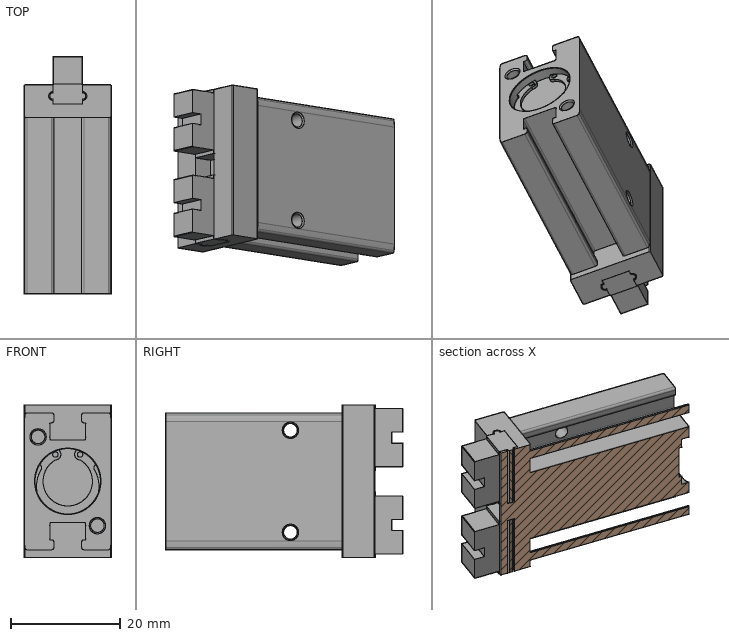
import cadquery as cq
import math


total_length = 43.5
width = 16.0
head_height = 28.0
body_height = 25.1
body_length = 32.3
head_front = 38.35

head_edge_chamfer = 0.2

corner_inset = 0.52
corner_height = 0.45
side_curve_inset = 0.15
side_curve_height = 1.17
corner_middle_inset = 0.25
corner_middle_drop = 0.15
side_curve_middle_inset = 0.05

slot_mouth_width = 5.1
slot_width = 6.52
slot_depth = 5.0
lip_thickness = 1.83
lip_round = 0.45
slot_floor_round = 0.25

hole_diameter = 2.5
hole_rim_diameter = 3.0
hole_chamfer = (hole_rim_diameter - hole_diameter) / 2
side_hole_y = 22.9
side_hole_z = 9.35
rear_hole_x = 5.45
rear_hole_z = 8.15
rear_hole_depth = 6.0

bore_diameter = 12.0
bore_radius = bore_diameter / 2
bore_rim_chamfer = 0.1
ring_face_depth = 1.5
ring_thickness = 0.52
bore_depth = ring_face_depth + ring_thickness
ring_inner_diameter = 9.05
lug_x = 2.25
lug_z = 4.9
lug_diameter = 2.0
lug_hole_diameter = 1.0
relief_lower_z = -2.18
relief_middle = (5.59, 0.35)
relief_shoulder = (4.95, 2.0)
relief_end = (4.8, 2.5)
relief_upper_z = 3.05

jaw_width = 5.4
jaw_inner_z = 2.0
jaw_length = head_height / 2 - jaw_inner_z
guide_depth = 3.55
jaw_base_rise = 0.15
jaw_base_chamfer = 0.1
finger_inset = 0.65
finger_tip_chamfer = 0.1
notch_size = 2.0
guide_axis_depth = 2.1
groove_diameter = 1.6
rib_diameter = 1.17


def box(x_range, y_range, z_range):
    """Block between the given limits."""
    corner = (x_range[0], y_range[0], z_range[0])
    length = x_range[1] - x_range[0]
    depth = y_range[1] - y_range[0]
    height = z_range[1] - z_range[0]
    return cq.Workplane("XY").box(length, depth, height, centered=False).translate(corner)


def cylinder(diameter, start, direction, length):
    """Round bar from a start point along a direction."""
    solid = cq.Solid.makeCylinder(diameter / 2, length, cq.Vector(*start), cq.Vector(*direction))
    return cq.Workplane(solid)


def countersink(diameter, chamfer, start, direction):
    """Cone that widens the mouth of a round hole by the chamfer."""
    cone = cq.Solid.makeCone(
        diameter / 2 + chamfer, diameter / 2, chamfer, cq.Vector(*start), cq.Vector(*direction)
    )
    return cq.Workplane(cone)


def with_x_mirror(shape):
    """Shape joined to its mirror image across X = 0."""
    return shape.union(shape.mirror("YZ"))


def make_body_block():
    """Body with its rounded long edges, mirrored from one quarter of the section."""
    side = width / 2
    top = body_height / 2
    curve_top = top - corner_height
    curve_bottom = curve_top - side_curve_height
    curve_middle = (side - side_curve_middle_inset, curve_top - side_curve_height / 2)
    corner_middle = (side - corner_middle_inset, top - corner_middle_drop)
    quarter = (
        cq.Workplane("XZ")
        .lineTo(side, 0)
        .lineTo(side, curve_bottom)
        .threePointArc(curve_middle, (side - side_curve_inset, curve_top))
        .threePointArc(corner_middle, (side - corner_inset, top))
        .lineTo(0, top)
        .close()
        .extrude(-body_length)
    )
    half = with_x_mirror(quarter)
    return half.union(half.mirror("XY")).clean()


def make_head():
    """Rectangular head with chamfered edges along Z."""
    z_range = (-head_height / 2, head_height / 2)
    head = box((-width / 2, width / 2), (body_length, head_front), z_range)
    return head.edges("|Z").chamfer(head_edge_chamfer)


def make_t_slot():
    """Cutter for the upper T-slot: a wide channel under a rounded mouth."""
    top = body_height / 2
    lip_bottom = top - lip_thickness
    y_range = (0, body_length)
    channel = box((-slot_width / 2, slot_width / 2), y_range, (top - slot_depth, lip_bottom))
    channel = channel.faces("<Z").edges("|Y").fillet(slot_floor_round)
    mouth_half = slot_mouth_width / 2
    mouth_edge = mouth_half + lip_round
    slot = channel.union(box((-mouth_edge, mouth_edge), y_range, (lip_bottom, top)))
    lip_x = slot_width / 2 + lip_round
    lip = box((mouth_half, lip_x), y_range, (lip_bottom, top))
    lip = lip.faces("<X").edges("|Y").fillet(lip_round)
    return slot.cut(with_x_mirror(lip))


def make_side_hole(z):
    """Cutter for a hole through the full width, countersunk on both sides."""
    hole = cylinder(hole_diameter, (-width / 2, side_hole_y, z), (1, 0, 0), width)
    rim = countersink(hole_diameter, hole_chamfer, (-width / 2, side_hole_y, z), (1, 0, 0))
    return hole.union(with_x_mirror(rim))


def make_rear_hole(x, z):
    """Cutter for a blind, countersunk hole in the rear face."""
    hole = cylinder(hole_diameter, (x, 0, z), (0, 1, 0), rear_hole_depth)
    return hole.union(countersink(hole_diameter, hole_chamfer, (x, 0, z), (0, 1, 0)))


def make_bore():
    """Cutter for the rear bore with its small rim chamfer."""
    bore = cylinder(bore_diameter, (0, 0, 0), (0, 1, 0), bore_depth)
    return bore.union(countersink(bore_diameter, bore_rim_chamfer, (0, 0, 0), (0, 1, 0)))


def make_ring():
    """Retaining-ring shape on the bore floor: open at the top, with two lugs and two side reliefs."""
    start = (0, ring_face_depth, 0)
    disc = cylinder(bore_diameter, start, (0, 1, 0), ring_thickness)
    opening = (
        cq.Workplane("XZ", origin=start)
        .polyline([(0, 0), (-2 * lug_x, 2 * lug_z), (2 * lug_x, 2 * lug_z)])
        .close()
        .extrude(-ring_thickness)
    )
    ring = disc.cut(cylinder(ring_inner_diameter, start, (0, 1, 0), ring_thickness)).cut(opening)

    lug_start = (lug_x, ring_face_depth, lug_z)
    lug_angle = math.degrees(math.atan2(lug_x, lug_z))
    lug_stem = box(
        (-lug_diameter / 2, lug_diameter / 2),
        (ring_face_depth, bore_depth),
        (math.hypot(lug_x, lug_z), bore_diameter),
    ).rotate((0, 0, 0), (0, 1, 0), lug_angle)
    lug = cylinder(lug_diameter, lug_start, (0, 1, 0), ring_thickness).union(lug_stem)
    ring = ring.union(with_x_mirror(lug.intersect(disc)))

    lower_x = math.sqrt(bore_radius**2 - relief_lower_z**2)
    upper_x = math.sqrt(bore_radius**2 - relief_upper_z**2)
    relief = (
        cq.Workplane("XZ", origin=start)
        .moveTo(lower_x, relief_lower_z)
        .threePointArc(relief_middle, relief_shoulder)
        .threePointArc(relief_end, (upper_x, relief_upper_z))
        .threePointArc((bore_radius, 0), (lower_x, relief_lower_z))
        .close()
        .extrude(-ring_thickness)
    )
    lug_hole = cylinder(lug_hole_diameter, lug_start, (0, 1, 0), ring_thickness)
    return ring.cut(with_x_mirror(relief)).cut(with_x_mirror(lug_hole))


def make_side_beads(diameter):
    """Two round bars as long as the upper jaw, centred on the side faces of its guide."""
    start = (jaw_width / 2, head_front - guide_axis_depth, jaw_inner_z)
    return with_x_mirror(cylinder(diameter, start, (0, 0, 1), jaw_length))


def make_guide():
    """Cutter for the jaw guide: a channel through the head, with grooves beside each jaw."""
    z_range = (-head_height / 2, head_height / 2)
    x_range = (-jaw_width / 2, jaw_width / 2)
    channel = box(x_range, (head_front - guide_depth, head_front), z_range)
    grooves = make_side_beads(groove_diameter)
    return channel.union(grooves).union(grooves.mirror("XY"))


def make_housing():
    """Body and head with all holes, slots and the ring shape."""
    housing = make_body_block().union(make_head())
    slot = make_t_slot()
    housing = housing.cut(slot).cut(slot.mirror("XY"))
    for side in (-1, 1):
        housing = housing.cut(make_side_hole(side * side_hole_z))
        housing = housing.cut(make_rear_hole(side * rear_hole_x, -side * rear_hole_z))
    return housing.cut(make_bore()).union(make_ring()).cut(make_guide())


def make_jaw():
    """Upper jaw: a ribbed base in the guide and a notched finger in front of it."""
    x_range = (-jaw_width / 2, jaw_width / 2)
    base_front = head_front + jaw_base_rise
    base_z = (jaw_inner_z, jaw_inner_z + jaw_length)
    base = box(x_range, (head_front - guide_depth, base_front), base_z)
    base = base.faces(">Y").edges("|Z").chamfer(jaw_base_chamfer)
    base = base.union(make_side_beads(rib_diameter))

    finger_z = (base_z[0] + finger_inset, base_z[1] - finger_inset)
    finger = box(x_range, (head_front, total_length), finger_z)
    finger = finger.faces(">Y").edges("|X").chamfer(finger_tip_chamfer)

    notch_z = (sum(base_z) - notch_size) / 2
    notch = box(x_range, (total_length - notch_size, total_length), (notch_z, notch_z + notch_size))
    return base.union(finger).cut(notch)


housing = make_housing()
upper_jaw = make_jaw()
lower_jaw = upper_jaw.mirror("XY")

result = cq.Compound.makeCompound([housing.val(), upper_jaw.val(), lower_jaw.val()])